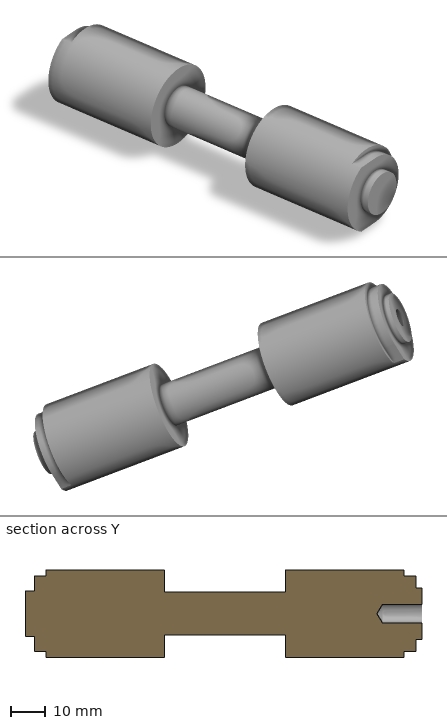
import cadquery as cq
import math

total_length = 114.5
body_diameter = 25.4
body_length = 37.7
shaft_diameter = 12.6
left_boss_diameter = 15.0
left_boss_length = 1.8
right_boss_diameter = 13.3
right_boss_length = 2.6
step_length = 3.3
step_radius = 11.0
hole_diameter = 5.3
hole_depth = 11.5
drill_point_angle = 118.0

left_end = -total_length / 2
right_end = total_length / 2
left_body_start = left_end + left_boss_length
right_body_end = right_end - right_boss_length
right_body_start = right_body_end - body_length


def cylinder(start, length, diameter):
    """Cylinder on the X axis, running towards +X from start."""
    return cq.Workplane("YZ", origin=(start, 0, 0)).circle(diameter / 2).extrude(length)


def end_step_cutter(start):
    """Material outside a U outline: rounded towards +Y, with two flats running to -Y."""
    plane = cq.Workplane("YZ", origin=(start, 0, 0))
    envelope = plane.rect(2 * body_diameter, 2 * body_diameter).extrude(step_length)
    kept = (
        plane.moveTo(-body_diameter, -step_radius)
        .lineTo(0, -step_radius)
        .threePointArc((step_radius, 0), (0, step_radius))
        .lineTo(-body_diameter, step_radius)
        .close()
        .extrude(step_length)
    )
    return envelope.cut(kept)


def drilled_hole():
    """Blind hole in the left end with a conical drill point."""
    radius = hole_diameter / 2
    point_depth = radius / math.tan(math.radians(drill_point_angle / 2))
    bottom = left_end + hole_depth
    return (
        cq.Workplane("XY")
        .moveTo(left_end, 0)
        .lineTo(left_end, radius)
        .lineTo(bottom, radius)
        .lineTo(bottom + point_depth, 0)
        .close()
        .revolve(360, (0, 0, 0), (1, 0, 0))
    )


result = cylinder(left_body_start, right_body_end - left_body_start, shaft_diameter)

for body_start, step_start in (
    (left_body_start, left_body_start),
    (right_body_start, right_body_end - step_length),
):
    body = cylinder(body_start, body_length, body_diameter)
    result = result.union(body.cut(end_step_cutter(step_start)))

result = result.union(cylinder(left_end, left_boss_length, left_boss_diameter))
result = result.union(cylinder(right_body_end, right_boss_length, right_boss_diameter))

result = result.cut(drilled_hole())